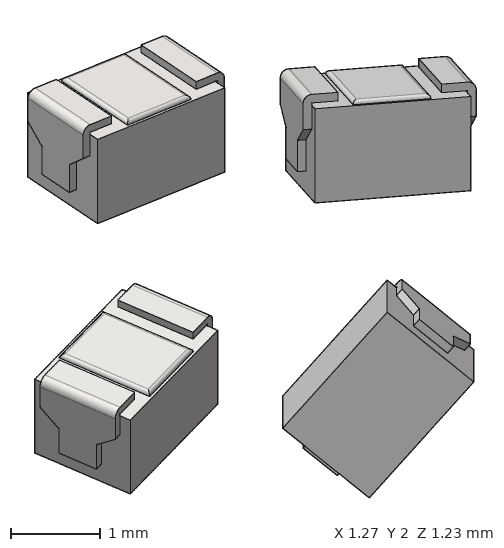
import cadquery as cq

body_width = 1.27
body_length = 1.8
body_height = 1.102

pad_width = 1.2
pad_length = 0.9
pad_height = 0.05
pad_edge_radius = pad_height
pad_embed = 0.05

sheet_thickness = 0.1
bend_radius = 0.1
strap_gap = 0.028
strap_length = 0.4
terminal_width = 1.0
leg_width = 0.5
leg_bottom = 0.26
taper_bottom = 0.625
taper_top = 0.825

strap_underside = body_height + strap_gap
terminal_top = strap_underside + sheet_thickness
body_end = body_length / 2
terminal_end = body_end + sheet_thickness
strap_tip = terminal_end - strap_length


def make_body():
    return cq.Workplane("XY").box(body_width, body_length, body_height, centered=(True, True, False))


def make_pad():
    pad = (
        cq.Workplane("XY")
        .workplane(offset=body_height - pad_embed)
        .box(pad_width, pad_length, pad_embed + pad_height, centered=(True, True, False))
    )
    return pad.faces(">Z").edges().fillet(pad_edge_radius)


def make_terminal():
    """Terminal at the +Y end: a bent strip trimmed to a tapered end outline."""
    strip = (
        cq.Workplane("YZ")
        .moveTo(body_end, leg_bottom)
        .lineTo(terminal_end, leg_bottom)
        .lineTo(terminal_end, terminal_top)
        .lineTo(strap_tip, terminal_top)
        .lineTo(strap_tip, strap_underside)
        .lineTo(body_end, strap_underside)
        .close()
        .extrude(terminal_width / 2, both=True)
    )
    strip = strip.edges("|X and >Y and >Z").fillet(bend_radius)
    outline = (
        cq.Workplane("XZ")
        .moveTo(-leg_width / 2, leg_bottom)
        .lineTo(leg_width / 2, leg_bottom)
        .lineTo(leg_width / 2, taper_bottom)
        .lineTo(terminal_width / 2, taper_top)
        .lineTo(terminal_width / 2, terminal_top)
        .lineTo(-terminal_width / 2, terminal_top)
        .lineTo(-terminal_width / 2, taper_top)
        .lineTo(-leg_width / 2, taper_bottom)
        .close()
        .extrude(-terminal_end)
    )
    return strip.intersect(outline)


terminal = make_terminal()
result = make_body().union(make_pad()).union(terminal).union(terminal.mirror("XZ"))